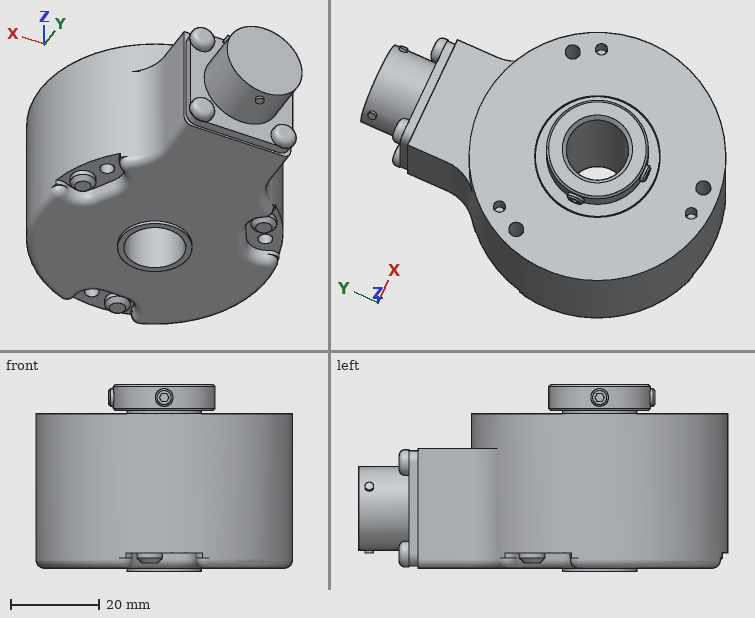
import cadquery as cq
import math

OVERALL_LENGTH = 83.5

DRUM_DIAMETER = 58.0
DRUM_RADIUS = DRUM_DIAMETER / 2
DRUM_HEIGHT = 35.0
BOTTOM_FILLET = 2.0

BOX_HALF_WIDTH = 13.5
BOX_HEIGHT = 27.1
BOX_END_Y = 41.0
BOX_BLEND_RADIUS = 10.0

FLANGE_THICKNESS = 2.1
FLANGE_HALF_WIDTH = 13.0
FLANGE_SCREW_OFFSET = 10.35
CONNECTOR_Z = BOX_HEIGHT / 2
CONNECTOR_RADIUS = 9.5
CONNECTOR_END_Y = OVERALL_LENGTH - DRUM_RADIUS
PIN_RADIUS = 1.0
PIN_PROTRUSION = 0.6
PIN_INSET = 2.4
PIN_ANGLES = (30, 150, 270)

HEAD_RADIUS = 2.9
HEAD_HEIGHT = 2.25
HEAD_FILLET = 1.4
HEAD_BEVEL = 1.1

HUB_RADIUS = 8.4
HUB_BOTTOM_PROTRUSION = 0.75
HUB_TOP_GAP = 0.7
BORE_RADIUS = 7.0
COLLAR_RADIUS = 11.5
COLLAR_HEIGHT = 5.9
COLLAR_CHAMFER = 0.5
MOUTH_RADIUS = 7.9
MOUTH_CHAMFER = 0.3
MOUTH_DEPTH = 1.0
GROOVE_OUTER_RADIUS = 14.2
GROOVE_WIDTH = 0.2
GROOVE_DEPTH = 0.5
COLLAR_BOTTOM_Z = DRUM_HEIGHT + HUB_TOP_GAP
COLLAR_TOP_Z = COLLAR_BOTTOM_Z + COLLAR_HEIGHT

SET_SCREW_RADIUS = 2.0
SET_SCREW_REACH = 12.5
SET_SCREW_CHAMFER = 0.4
SOCKET_DIAMETER = 2.2
SOCKET_DEPTH = 1.25

MOUNT_ANGLES = (30, 150, 270)
MOUNT_CIRCLE_RADIUS = 25.05
MOUNT_HALF_ANGLE = 7.5
THROUGH_HOLE_RADIUS = 1.7
BLIND_HOLE_RADIUS = 1.3
BLIND_HOLE_DEPTH = 5.5
NOTCH_HEIGHT = 3.5
NOTCH_BACK_DISTANCE = 20.6
NOTCH_FLAT_HALF_WIDTH = 2.7
NOTCH_CORNER_RADIUS = 4.6
NOTCH_FLARE_RADIUS = 2.9
NOTCH_FLARE_ANGLE = 90
NOTCH_LIP_HEIGHT = 2.3
NOTCH_CORNER_Y = NOTCH_BACK_DISTANCE + NOTCH_CORNER_RADIUS
NOTCH_SIDE_X = NOTCH_FLAT_HALF_WIDTH + NOTCH_CORNER_RADIUS


def polar(radius, angle):
    """Point at a radius and an angle in degrees."""
    return radius * math.cos(math.radians(angle)), radius * math.sin(math.radians(angle))


def make_drum_and_box():
    """Drum joined to the box by concave blends tangent to both."""
    drum = cq.Workplane("XY").circle(DRUM_RADIUS).extrude(DRUM_HEIGHT)

    blend_x = BOX_HALF_WIDTH + BOX_BLEND_RADIUS
    blend_y = math.sqrt((DRUM_RADIUS + BOX_BLEND_RADIUS) ** 2 - blend_x ** 2)
    blend_angle = math.degrees(math.atan2(blend_y, blend_x))
    touch_x, touch_y = polar(DRUM_RADIUS, blend_angle)
    step_x, step_y = polar(BOX_BLEND_RADIUS, 180 + blend_angle / 2)
    middle_x = blend_x + step_x
    middle_y = blend_y + step_y

    box = (
        cq.Workplane("XY")
        .moveTo(-touch_x, touch_y)
        .threePointArc((-middle_x, middle_y), (-BOX_HALF_WIDTH, blend_y))
        .lineTo(-BOX_HALF_WIDTH, BOX_END_Y)
        .lineTo(BOX_HALF_WIDTH, BOX_END_Y)
        .lineTo(BOX_HALF_WIDTH, blend_y)
        .threePointArc((middle_x, middle_y), (touch_x, touch_y))
        .lineTo(0, 0)
        .close()
        .extrude(BOX_HEIGHT)
    )
    return drum.union(box)


def make_notch_layer(flare_radius, flare_angle, height):
    """Notch around +Y: flat back, rounded corners and a mouth that flares through an angle."""
    outside_y = DRUM_RADIUS + NOTCH_FLARE_RADIUS
    corner_step_x, corner_step_y = polar(NOTCH_CORNER_RADIUS, -45)
    corner_middle = (NOTCH_FLAT_HALF_WIDTH + corner_step_x, NOTCH_CORNER_Y + corner_step_y)

    flare_x = NOTCH_SIDE_X + flare_radius
    middle_step_x, middle_step_y = polar(flare_radius, 180 - flare_angle / 2)
    flare_middle = (flare_x + middle_step_x, NOTCH_CORNER_Y + middle_step_y)
    end_step_x, end_step_y = polar(flare_radius, 180 - flare_angle)
    mouth_x = flare_x + end_step_x
    mouth_y = NOTCH_CORNER_Y + end_step_y

    half = (
        cq.Workplane("XY")
        .moveTo(0, NOTCH_BACK_DISTANCE)
        .lineTo(NOTCH_FLAT_HALF_WIDTH, NOTCH_BACK_DISTANCE)
        .threePointArc(corner_middle, (NOTCH_SIDE_X, NOTCH_CORNER_Y))
        .threePointArc(flare_middle, (mouth_x, mouth_y))
        .lineTo(mouth_x, outside_y)
        .lineTo(0, outside_y)
        .close()
        .extrude(height)
    )
    return half.union(half.mirror("YZ")).clean()


def make_notch(angle):
    """Screw notch whose lower lip flares until it runs smoothly into the drum wall."""
    squares = DRUM_RADIUS ** 2 - NOTCH_SIDE_X ** 2 - NOTCH_CORNER_Y ** 2
    lip_radius = squares / (2 * (DRUM_RADIUS + NOTCH_SIDE_X))
    touch_angle = math.degrees(math.atan2(NOTCH_CORNER_Y, NOTCH_SIDE_X + lip_radius))

    notch = make_notch_layer(NOTCH_FLARE_RADIUS, NOTCH_FLARE_ANGLE, NOTCH_HEIGHT)
    lip = make_notch_layer(lip_radius, 180 - touch_angle, NOTCH_LIP_HEIGHT)
    return notch.union(lip).rotate((0, 0, 0), (0, 0, 1), angle - 90)


def make_housing():
    """Drum and box with notches, its bottom rim rounded except at the box end."""
    housing = make_drum_and_box()
    for angle in MOUNT_ANGLES:
        housing = housing.cut(make_notch(angle))
    rim = housing.faces("<Z").edges("not >Y")
    return rim.fillet(BOTTOM_FILLET)


def make_head_blank():
    """Plain screw head, seated on z = 0 and pointing up."""
    return cq.Workplane("XY").circle(HEAD_RADIUS).extrude(HEAD_HEIGHT)


def add_mounting(body):
    """Through holes, blind holes and the screw heads inside the notches."""
    head = make_head_blank().faces(">Z").chamfer(HEAD_BEVEL).rotate((0, 0, 0), (1, 0, 0), 180)
    for angle in MOUNT_ANGLES:
        through_xy = polar(MOUNT_CIRCLE_RADIUS, angle + MOUNT_HALF_ANGLE)
        blind_xy = polar(MOUNT_CIRCLE_RADIUS, angle - MOUNT_HALF_ANGLE)
        through_hole = cq.Workplane("XY").center(*through_xy).circle(THROUGH_HOLE_RADIUS).extrude(DRUM_HEIGHT)
        blind_hole = (
            cq.Workplane("XY", origin=(0, 0, DRUM_HEIGHT))
            .center(*blind_xy)
            .circle(BLIND_HOLE_RADIUS)
            .extrude(-BLIND_HOLE_DEPTH)
        )
        body = body.cut(through_hole).cut(blind_hole)
        body = body.union(head.translate((blind_xy[0], blind_xy[1], NOTCH_HEIGHT)))
    return body


def make_connector():
    """Flange, connector shell, bayonet pins and flange screws along +Y."""
    corner_radius = FLANGE_HALF_WIDTH - FLANGE_SCREW_OFFSET
    flange_end_y = BOX_END_Y + FLANGE_THICKNESS
    flange = (
        cq.Workplane("XZ", origin=(0, flange_end_y, CONNECTOR_Z))
        .rect(2 * FLANGE_HALF_WIDTH, 2 * FLANGE_HALF_WIDTH)
        .extrude(FLANGE_THICKNESS)
        .edges("|Y")
        .fillet(corner_radius)
    )
    shell = (
        cq.Workplane("XZ", origin=(0, CONNECTOR_END_Y, CONNECTOR_Z))
        .circle(CONNECTOR_RADIUS)
        .extrude(CONNECTOR_END_Y - BOX_END_Y)
    )
    connector = flange.union(shell)

    pin = (
        cq.Workplane("YZ", origin=(0, CONNECTOR_END_Y - PIN_INSET, 0))
        .circle(PIN_RADIUS)
        .extrude(CONNECTOR_RADIUS + PIN_PROTRUSION)
    )
    for angle in PIN_ANGLES:
        turned_pin = pin.rotate((0, 0, 0), (0, 1, 0), -angle)
        connector = connector.union(turned_pin.translate((0, 0, CONNECTOR_Z)))

    head = make_head_blank().faces(">Z").edges().fillet(HEAD_FILLET).rotate((0, 0, 0), (1, 0, 0), -90)
    for side_x in (-1, 1):
        for side_z in (-1, 1):
            x = side_x * FLANGE_SCREW_OFFSET
            z = CONNECTOR_Z + side_z * FLANGE_SCREW_OFFSET
            connector = connector.union(head.translate((x, flange_end_y, z)))
    return connector


def make_collar():
    """Clamping collar with two set screws, facing -X and -Y."""
    collar = (
        cq.Workplane("XY", origin=(0, 0, COLLAR_BOTTOM_Z))
        .circle(COLLAR_RADIUS)
        .extrude(COLLAR_HEIGHT)
        .edges()
        .chamfer(COLLAR_CHAMFER)
    )
    set_screw = (
        cq.Workplane("YZ", origin=(0, 0, COLLAR_BOTTOM_Z + COLLAR_HEIGHT / 2))
        .circle(SET_SCREW_RADIUS)
        .extrude(-SET_SCREW_REACH)
        .faces("<X")
        .chamfer(SET_SCREW_CHAMFER)
    )
    socket = (
        cq.Workplane("YZ", origin=(-SET_SCREW_REACH, 0, COLLAR_BOTTOM_Z + COLLAR_HEIGHT / 2))
        .polygon(6, SOCKET_DIAMETER)
        .extrude(SOCKET_DEPTH)
    )
    for angle in (0, 90):
        collar = collar.union(set_screw.rotate((0, 0, 0), (0, 0, 1), angle))
        collar = collar.cut(socket.rotate((0, 0, 0), (0, 0, 1), angle))
    return collar


def add_shaft(body):
    """Hub, collar, ring groove and the flared bore through the whole part."""
    hub = (
        cq.Workplane("XY", origin=(0, 0, -HUB_BOTTOM_PROTRUSION))
        .circle(HUB_RADIUS)
        .extrude(HUB_BOTTOM_PROTRUSION + COLLAR_BOTTOM_Z)
    )
    groove = (
        cq.Workplane("XY", origin=(0, 0, DRUM_HEIGHT))
        .circle(GROOVE_OUTER_RADIUS)
        .circle(GROOVE_OUTER_RADIUS - GROOVE_WIDTH)
        .extrude(-GROOVE_DEPTH)
    )
    throat_radius = MOUTH_RADIUS - MOUTH_CHAMFER
    bore = (
        cq.Workplane("XZ")
        .moveTo(0, -HUB_BOTTOM_PROTRUSION)
        .lineTo(BORE_RADIUS, -HUB_BOTTOM_PROTRUSION)
        .lineTo(BORE_RADIUS, COLLAR_TOP_Z - MOUTH_DEPTH)
        .lineTo(throat_radius, COLLAR_TOP_Z - MOUTH_CHAMFER)
        .lineTo(MOUTH_RADIUS, COLLAR_TOP_Z)
        .lineTo(0, COLLAR_TOP_Z)
        .close()
        .revolve(360)
    )
    return body.union(hub).union(make_collar()).cut(groove).cut(bore)


result = add_shaft(add_mounting(make_housing()).union(make_connector()))